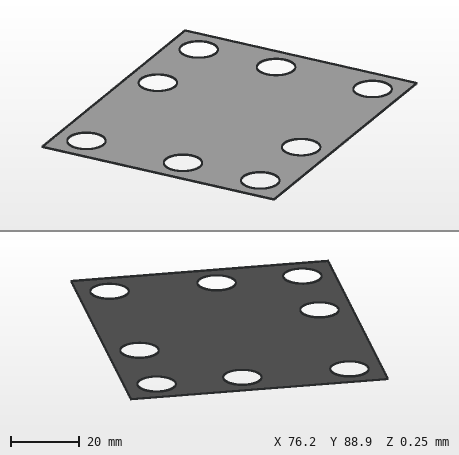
import cadquery as cq

width = 76.2
length = 88.9
thickness = 0.25

hole_diameter = 11.2
edge_inset = 9.5
hole_pitch = 25.4

corner_x = width / 2 - edge_inset
corner_y = length / 2 - edge_inset

half_pattern = [
    (-corner_x, corner_y),
    (corner_x, corner_y),
    (-corner_x + hole_pitch, corner_y),
    (-corner_x, corner_y - hole_pitch),
]
hole_centers = half_pattern + [(-x, -y) for x, y in half_pattern]

result = (
    cq.Workplane("XY")
    .box(width, length, thickness)
    .faces(">Z")
    .workplane()
    .pushPoints(hole_centers)
    .hole(hole_diameter)
)